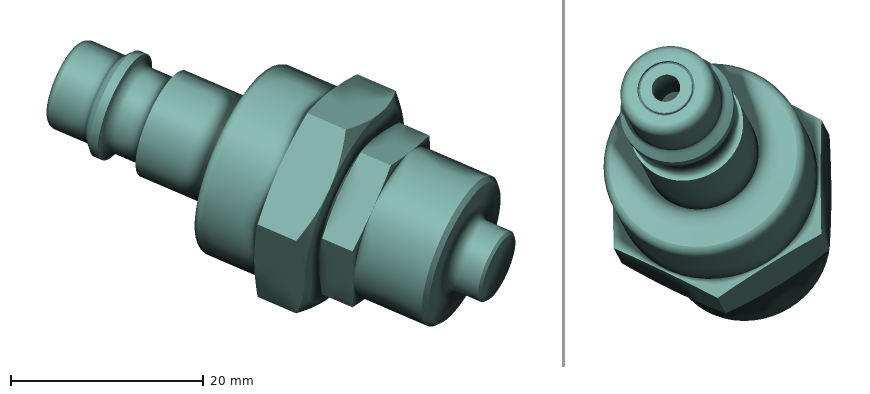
import cadquery as cq
import math

total_length = 51.0
ridge_start = 5.0
ridge_end = 7.0
groove_end = 11.4
collar_start = 20.0
main_hex_start = 28.0
main_hex_end = 34.0
nut_hex_start = 34.35
nut_hex_end = 38.45
nut_end = 46.95

tip_diameter = 10.0
shank_diameter = 12.0
groove_diameter = 9.75
collar_diameter = 21.4
neck_diameter = 16.0
nut_diameter = 17.0
tail_diameter = 8.0

round_radius = 1.0
collar_face_rise = 0.5
collar_face_diameter = 19.9
nut_chamfer = 0.5
tail_chamfer = 0.3

main_hex_flats = 22.0
nut_hex_flats = 17.0
main_hex_front_diameter = 21.5
main_hex_back_diameter = 22.0
nut_hex_face_diameter = 16.85
main_hex_front_bevel = 0.45
main_hex_back_bevel = 1.0
nut_hex_front_bevel = 0.35
nut_hex_back_bevel = 0.15

ring_outer_diameter = 6.0
ring_inner_diameter = 5.6
ring_lip_diameter = 5.45
ring_depth = 0.3
bore_diameter = 3.0
bore_depth = 5.1


def turned_body():
    """Solid of revolution carrying every round step."""
    tip = tip_diameter / 2
    shank = shank_diameter / 2
    groove = groove_diameter / 2
    collar = collar_diameter / 2
    neck = neck_diameter / 2
    nut = nut_diameter / 2
    tail = tail_diameter / 2
    r = round_radius
    bulge = r * (1 - math.sqrt(0.5))
    collar_face = collar_start + collar_face_rise
    outline = (
        cq.Workplane("XY")
        .lineTo(0, tip - r)
        .threePointArc((bulge, tip - bulge), (r, tip))
        .lineTo(ridge_start, tip)
        .lineTo(ridge_start + shank - tip, shank)
        .lineTo(ridge_end, shank)
        .lineTo(ridge_end, groove + r)
        .threePointArc((ridge_end + bulge, groove + bulge), (ridge_end + r, groove))
        .lineTo(groove_end - r, groove)
        .threePointArc((groove_end - bulge, groove + bulge), (groove_end, groove + r))
        .lineTo(groove_end, shank)
        .lineTo(collar_start, shank)
        .lineTo(collar_face, collar_face_diameter / 2)
        .threePointArc((collar_face + bulge, collar - bulge), (collar_face + r, collar))
        .lineTo(main_hex_start, collar)
        .lineTo(main_hex_start, neck)
        .lineTo(nut_hex_end, neck)
        .lineTo(nut_hex_end, nut)
        .lineTo(nut_end - nut_chamfer, nut)
        .lineTo(nut_end, nut - nut_chamfer)
        .lineTo(nut_end, tail + r)
        .threePointArc((nut_end + bulge, tail + bulge), (nut_end + r, tail))
        .lineTo(total_length - tail_chamfer, tail)
        .lineTo(total_length, tail - tail_chamfer)
        .lineTo(total_length, 0)
        .close()
    )
    return outline.revolve(360, (0, 0, 0), (1, 0, 0))


def beveled_hex(start, end, flats, front_diameter, back_diameter, front_bevel, back_bevel):
    """Hexagon with corners at +Z and -Z whose corners are turned down to a round face at each end."""
    corner = flats / math.sqrt(3)
    prism = (
        cq.Workplane("YZ", origin=(start, 0, 0))
        .polygon(6, 2 * corner)
        .extrude(end - start)
        .rotate((0, 0, 0), (1, 0, 0), 90)
    )
    envelope = (
        cq.Workplane("XY")
        .moveTo(start, 0)
        .lineTo(start, front_diameter / 2)
        .lineTo(start + front_bevel, corner)
        .lineTo(end - back_bevel, corner)
        .lineTo(end, back_diameter / 2)
        .lineTo(end, 0)
        .close()
        .revolve(360, (0, 0, 0), (1, 0, 0))
    )
    return prism.intersect(envelope)


def tip_bore():
    """Blind hole in the tip face."""
    return cq.Workplane("YZ").circle(bore_diameter / 2).extrude(bore_depth)


def tip_ring():
    """Narrow groove around the hole, with a bevelled inner edge."""
    lip_bevel = (ring_inner_diameter - ring_lip_diameter) / 2
    outline = (
        cq.Workplane("XY")
        .moveTo(0, ring_lip_diameter / 2)
        .lineTo(lip_bevel, ring_inner_diameter / 2)
        .lineTo(ring_depth, ring_inner_diameter / 2)
        .lineTo(ring_depth, ring_outer_diameter / 2)
        .lineTo(0, ring_outer_diameter / 2)
        .close()
    )
    return outline.revolve(360, (0, 0, 0), (1, 0, 0))


main_hex = beveled_hex(
    main_hex_start, main_hex_end, main_hex_flats,
    main_hex_front_diameter, main_hex_back_diameter, main_hex_front_bevel, main_hex_back_bevel,
)
nut_hex = beveled_hex(
    nut_hex_start, nut_hex_end, nut_hex_flats,
    nut_hex_face_diameter, nut_hex_face_diameter, nut_hex_front_bevel, nut_hex_back_bevel,
)
result = turned_body().union(main_hex).union(nut_hex).cut(tip_bore()).cut(tip_ring())